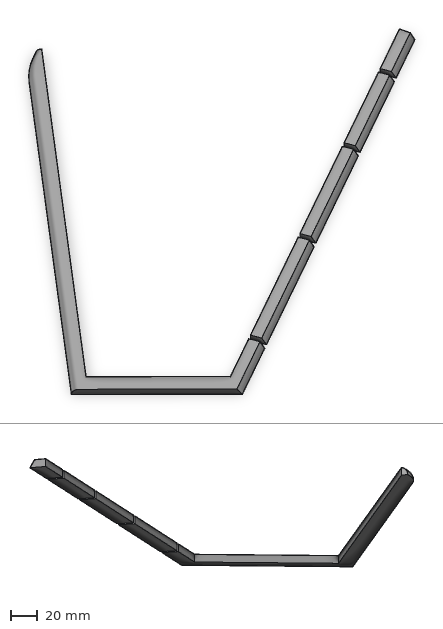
import cadquery as cq
import math

overall_width = 260.0
overall_length = 421.5
thickness = 6.0
bar_width = 12.5
arm_width = 12.2

lowest_corner_x = 140.7
link_angle = math.radians(20.0)
arm_lean = math.radians(25.6)
arm_tip_y = 312.2
arm_edge_radius = thickness
tip_bend_radius = 50.5

column_bevel = 4.0
stub_top_y = 92.3
segment_gap = 4.0
segment_lengths = [104.0, 92.5, 75.0]
end_segment_drop = 1.3

column_inner_x = overall_width - bar_width


def link_outer_y(x):
    """Y of the link's outer side at x."""
    return (x - lowest_corner_x) * math.tan(link_angle)


def link_inner_y(x):
    """Y of the link's inner side at x."""
    return link_outer_y(x) + bar_width / math.cos(link_angle)


def arm_outer_x(y):
    """X of the arm's straight outer side at y."""
    return lowest_corner_x - y * math.tan(arm_lean)


def arm_inner_x(y):
    """X of the arm's inner side at y."""
    return arm_outer_x(y) + arm_width / math.cos(arm_lean)


arm_inner_base_x = arm_inner_x(0)
inner_corner_y = link_inner_y(arm_inner_base_x) / (1 + math.tan(link_angle) * math.tan(arm_lean))
inner_corner = (arm_inner_x(inner_corner_y), inner_corner_y)


def bevel_cutter():
    """Wedge that slopes the column's +X side from the bottom edge to the top."""
    return (
        cq.Workplane("XZ")
        .moveTo(overall_width, 0)
        .lineTo(overall_width, thickness)
        .lineTo(overall_width - column_bevel, thickness)
        .close()
        .extrude(-overall_length)
    )


def make_frame():
    """Arm, link and stub as one flat bar with a rounded outer edge on the arm."""
    bend_corner_y = lowest_corner_x / math.tan(arm_lean)
    tangent_length = tip_bend_radius * math.tan(arm_lean / 2)
    bend_start_y = bend_corner_y - tangent_length * math.cos(arm_lean)
    bend_start = (arm_outer_x(bend_start_y), bend_start_y)
    bend_end = (0, bend_corner_y + tangent_length)
    half_lean = arm_lean / 2
    bend_middle = (
        tip_bend_radius * (1 - math.cos(half_lean)),
        bend_end[1] - tip_bend_radius * math.sin(half_lean),
    )

    blank = (
        cq.Workplane("XY", origin=(0, 0, -thickness))
        .moveTo(lowest_corner_x, 0)
        .lineTo(overall_width, link_outer_y(overall_width))
        .lineTo(overall_width, arm_tip_y)
        .lineTo(0, arm_tip_y)
        .lineTo(*bend_end)
        .threePointArc(bend_middle, bend_start)
        .close()
        .extrude(2 * thickness)
    )
    above_base = cq.Workplane("XY").rect(2 * overall_length, 2 * overall_length).extrude(thickness)
    mid_height = thickness / 2
    arm_top_edges = (
        blank.faces(">Z")
        .edges(cq.selectors.BoxSelector(
            (-bar_width, bar_width, mid_height),
            (lowest_corner_x - bar_width, arm_tip_y - mid_height, thickness + mid_height),
        ))
    )
    rounded = arm_top_edges.fillet(arm_edge_radius).intersect(above_base)

    inside = (
        cq.Workplane("XY")
        .polyline([
            inner_corner,
            (column_inner_x, link_inner_y(column_inner_x)),
            (column_inner_x, stub_top_y),
            (overall_width, stub_top_y),
            (overall_width, overall_length),
            (arm_inner_x(overall_length), overall_length),
        ])
        .close()
        .extrude(thickness)
    )
    return rounded.cut(inside).cut(bevel_cutter())


def make_segment(bottom_y, top_y, end_drop=0.0):
    """One straight piece of the column; end_drop slants its far end."""
    return (
        cq.Workplane("XY")
        .polyline([
            (column_inner_x, bottom_y),
            (overall_width, bottom_y),
            (overall_width, top_y - end_drop),
            (column_inner_x, top_y),
        ])
        .close()
        .extrude(thickness)
        .cut(bevel_cutter())
    )


frame = make_frame()

segments = []
bottom_y = stub_top_y + segment_gap
for length in segment_lengths:
    top_y = bottom_y + length
    segments.append(make_segment(bottom_y, top_y))
    bottom_y = top_y + segment_gap

end_segment = make_segment(bottom_y, overall_length, end_segment_drop)

result = cq.Compound.makeCompound([
    frame.val(),
    *[segment.val() for segment in segments],
    end_segment.val(),
])